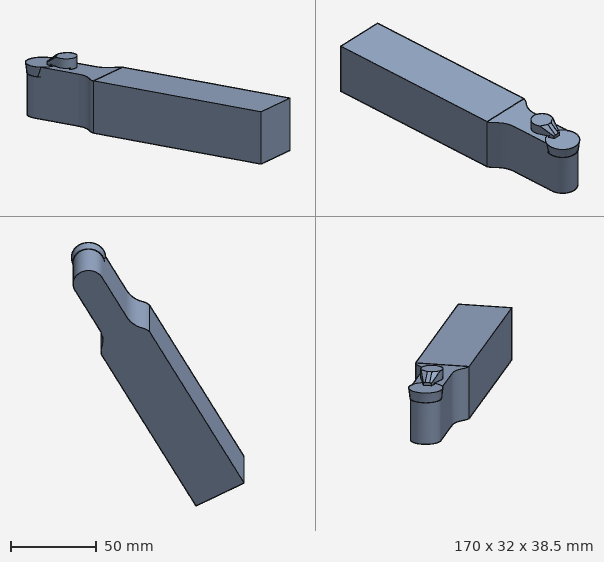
import cadquery as cq
import math

LENGTH = 170.0
SHANK_WIDTH = 32.0
SHANK_START = 54.9
NECK_WIDTH = 18.0
NECK_END = 40.1
FLARE_RADIUS = 15.0
FLARE_JOINT_X = 50.8
NECK_STEP = 0.2

INSERT_RADIUS = 10.0
INSERT_THICKNESS = 6.3
INSERT_RELIEF = 7.0
INSERT_X = INSERT_RADIUS

OVERALL_HEIGHT = 38.5
CLAMP_RADIUS = 6.5
CLAMP_X = 26.2
CLAMP_GAP = 0.8
NOSE_X = 14.5
NOSE_HALF_WIDTH = 2.4
NOSE_FOOT_LENGTH = 3.2
HEEL_FOOT_LENGTH = 1.5
RIDGE_HALF_WIDTH = 1.4
RIDGE_START_HEIGHT = 1.9
RIDGE_END_X = 20.4
FACET_FALL = 0.45

SHANK_HEIGHT = SHANK_WIDTH
NECK_HEIGHT = SHANK_HEIGHT - NECK_STEP


def make_insert():
    """Flat-topped cone, widest at its top face."""
    taper = INSERT_THICKNESS * math.tan(math.radians(INSERT_RELIEF))
    return cq.Workplane(
        cq.Solid.makeCone(
            INSERT_RADIUS - taper,
            INSERT_RADIUS,
            INSERT_THICKNESS,
            pnt=cq.Vector(INSERT_X, 0, NECK_HEIGHT - INSERT_THICKNESS),
        )
    )


def make_shank():
    """Square shank that narrows through an S-shaped flare to a round-nosed neck."""
    half_neck = NECK_WIDTH / 2
    half_shank = SHANK_WIDTH / 2

    def flare_y(x):
        run = x - NECK_END
        return half_neck + FLARE_RADIUS - math.sqrt(FLARE_RADIUS**2 - run**2)

    joint_y = flare_y(FLARE_JOINT_X)
    middle_x = (NECK_END + FLARE_JOINT_X) / 2
    middle_y = flare_y(middle_x)

    half = (
        cq.Workplane("XY")
        .moveTo(INSERT_X - half_neck, 0)
        .radiusArc((INSERT_X, half_neck), half_neck)
        .lineTo(NECK_END, half_neck)
        .threePointArc((middle_x, middle_y), (FLARE_JOINT_X, joint_y))
        .tangentArcPoint((SHANK_START, half_shank), relative=False)
        .lineTo(LENGTH, half_shank)
        .lineTo(LENGTH, 0)
        .close()
        .extrude(SHANK_HEIGHT)
    )
    blank = half.union(half.mirror("XZ")).clean()

    step = cq.Workplane("XY").box(SHANK_START, SHANK_WIDTH, NECK_STEP, centered=(False, True, False))
    return blank.cut(step.translate((0, 0, NECK_HEIGHT)))


def make_clamp():
    """Round head with a tapered nose, resting on a nose foot and a heel foot."""
    to_corner = math.hypot(CLAMP_X - NOSE_X, NOSE_HALF_WIDTH)
    corner_angle = math.atan2(NOSE_HALF_WIDTH, CLAMP_X - NOSE_X)
    tangent_angle = corner_angle + math.acos(CLAMP_RADIUS / to_corner)
    tangent_x = CLAMP_X - CLAMP_RADIUS * math.cos(tangent_angle)
    tangent_y = CLAMP_RADIUS * math.sin(tangent_angle)
    heel_x = CLAMP_X + CLAMP_RADIUS
    body = (
        cq.Workplane("XY", origin=(0, 0, NECK_HEIGHT))
        .moveTo(NOSE_X, -NOSE_HALF_WIDTH)
        .lineTo(tangent_x, -tangent_y)
        .threePointArc((heel_x, 0), (tangent_x, tangent_y))
        .lineTo(NOSE_X, NOSE_HALF_WIDTH)
        .close()
        .extrude(OVERALL_HEIGHT - NECK_HEIGHT)
    )

    ridge_z = NECK_HEIGHT + RIDGE_START_HEIGHT
    facet_z = ridge_z - FACET_FALL * (CLAMP_RADIUS - RIDGE_HALF_WIDTH)
    roof = cq.Wire.makePolygon(
        [
            cq.Vector(NOSE_X, -CLAMP_RADIUS, 0),
            cq.Vector(NOSE_X, -CLAMP_RADIUS, facet_z),
            cq.Vector(NOSE_X, -RIDGE_HALF_WIDTH, ridge_z),
            cq.Vector(NOSE_X, RIDGE_HALF_WIDTH, ridge_z),
            cq.Vector(NOSE_X, CLAMP_RADIUS, facet_z),
            cq.Vector(NOSE_X, CLAMP_RADIUS, 0),
        ],
        close=True,
    )
    slope = (OVERALL_HEIGHT - ridge_z) / (RIDGE_END_X - NOSE_X)
    run = heel_x - NOSE_X
    body = body.intersect(cq.Workplane(cq.Solid.extrudeLinear(roof, [], cq.Vector(run, 0, run * slope))))

    relief_start = NOSE_X + NOSE_FOOT_LENGTH
    relief = cq.Workplane("XY").box(
        heel_x - HEEL_FOOT_LENGTH - relief_start,
        2 * CLAMP_RADIUS,
        CLAMP_GAP,
        centered=(False, True, False),
    )
    return body.cut(relief.translate((relief_start, 0, NECK_HEIGHT)))


insert = make_insert()

holder = make_shank().cut(insert).union(make_clamp())

result = cq.Compound.makeCompound([holder.solids().val(), insert.val()])